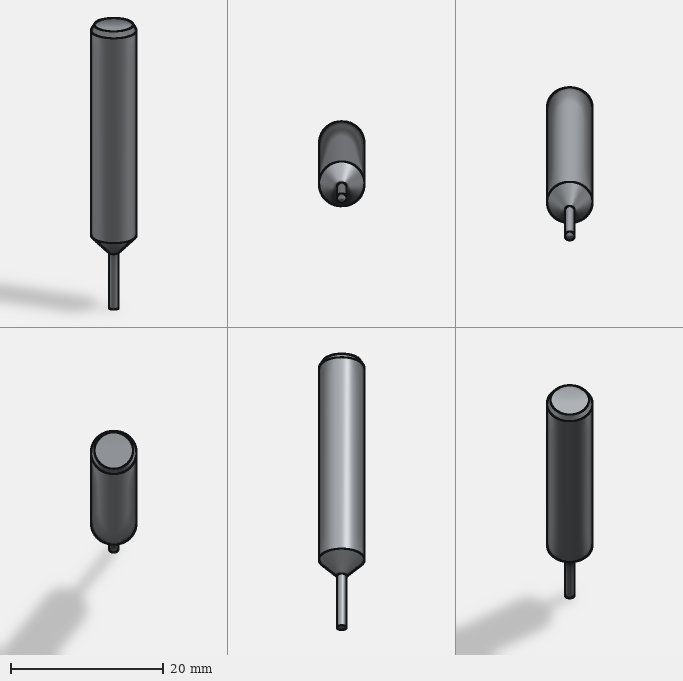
import cadquery as cq
import math

total_length = 40.0
shank_radius = 3.0
drill_radius = 0.65
drill_length = 8.0
point_angle = 140.0
neck_height = 2.45
chamfer_height = 0.8
chamfer_half_angle = 30.0

point_height = drill_radius / math.tan(math.radians(point_angle / 2))
neck_top = drill_length + neck_height
chamfer_width = chamfer_height * math.tan(math.radians(chamfer_half_angle))


def revolve_profile(points):
    """Turn a closed (radius, height) outline about the Z axis."""
    return cq.Workplane("XZ").polyline(points).close().revolve(360, (0, 0, 0), (0, 1, 0))


def make_shank():
    """Cylindrical shank with a conical neck below and a chamfered upper end."""
    return revolve_profile([
        (0, drill_length),
        (drill_radius, drill_length),
        (shank_radius, neck_top),
        (shank_radius, total_length - chamfer_height),
        (shank_radius - chamfer_width, total_length),
        (0, total_length),
    ])


def make_drill():
    """Slim drill with a conical point, seated against the end of the neck."""
    return revolve_profile([
        (0, 0),
        (drill_radius, point_height),
        (drill_radius, drill_length),
        (0, drill_length),
    ])


shank = make_shank()
drill = make_drill()

result = cq.Compound.makeCompound([shank.val(), drill.val()])